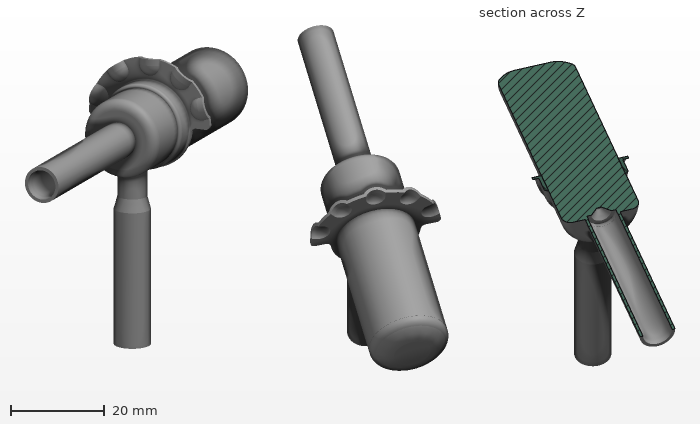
import cadquery as cq


shell_dia = 17.4
shell_radius = shell_dia / 2
shell_length = 48.65
front_round = 2.1

groove_dia = 17.3
groove_width = 0.3
groove_from_rear = 3.2
crown_dia = 15.4
crown_height = 1.5
crown_flat_dia = 8.15

overall_length = 86.7
tube_dia = 8.0
tube_radius = tube_dia / 2
front_tube_length = overall_length - shell_length
bore_dia = 6.5

pocket_dia = 6.4
pocket_depth = 0.9
seat_dia = 4.5
seat_tip_dia = 1.0
seat_depth = 1.7

side_tube_y = 6.8
neck_dia = 6.4
neck_end = 14.05
taper_end = 16.9
side_tube_end = 47.1

sheet = 0.8
collar_dia = 19.0
collar_rear = 15.95
collar_length = 5.0
collar_front = collar_rear - collar_length
flange_front = collar_rear - sheet
flange_radius = 10.0
bend_round = 0.3
fan_radius = 14.4
fan_corner_round = 1.0
fan_root_round = 1.2

dent_count = 5
dent_spacing = 35.0
dent_outer_dia = 6.5
dent_inner_dia = 5.0
dent_end_radius = 12.9
dent_total_depth = 1.9
dent_center_y = collar_rear + dent_outer_dia / 2 - dent_total_depth


def cylinder_y(diameter, y_start, y_end):
    """Cylinder on the valve axis between two Y positions."""
    return cq.Workplane("XZ", origin=(0, y_start, 0)).circle(diameter / 2).extrude(y_start - y_end)


def make_shell():
    """Solid of revolution: rounded front edge, seam groove, rounded shoulder and crown."""
    groove_end = shell_length - groove_from_rear
    groove_start = groove_end - groove_width
    crown_base = shell_length - crown_height
    shoulder_run = shell_radius - crown_dia / 2
    shoulder_rise = crown_base - groove_end
    shoulder_round = (shoulder_run**2 + shoulder_rise**2) / (2 * shoulder_run)
    return (
        cq.Workplane("XY")
        .lineTo(0, shell_length)
        .lineTo(crown_flat_dia / 2, shell_length)
        .tangentArcPoint((crown_dia / 2, crown_base), relative=False)
        .radiusArc((shell_radius, groove_end), shoulder_round)
        .lineTo(groove_dia / 2, groove_end)
        .lineTo(groove_dia / 2, groove_start)
        .lineTo(shell_radius, groove_start)
        .lineTo(shell_radius, front_round)
        .radiusArc((shell_radius - front_round, 0), front_round)
        .close()
        .revolve(360, (0, 0, 0), (0, 1, 0))
    )


def make_side_tube():
    """Neck, taper and straight tube turned about a vertical axis that starts on the valve axis."""
    return (
        cq.Workplane("XZ", origin=(0, side_tube_y, 0))
        .lineTo(neck_dia / 2, 0)
        .lineTo(neck_dia / 2, -neck_end)
        .lineTo(tube_radius, -taper_end)
        .lineTo(tube_radius, -side_tube_end)
        .lineTo(0, -side_tube_end)
        .close()
        .revolve(360, (0, 0, 0), (0, 1, 0))
    )


def make_seat():
    """Conical recess in the floor of the pocket, ending in a small flat."""
    seat_bottom = pocket_depth + seat_depth
    return (
        cq.Workplane("XY")
        .moveTo(0, pocket_depth)
        .lineTo(seat_dia / 2, pocket_depth)
        .lineTo(seat_tip_dia / 2, seat_bottom)
        .lineTo(0, seat_bottom)
        .close()
        .revolve(360, (0, 0, 0), (0, 1, 0))
    )


def make_valve():
    front_tube = cylinder_y(tube_dia, -front_tube_length, 0)
    bore = cylinder_y(bore_dia, -front_tube_length, 0)
    pocket = cylinder_y(pocket_dia, 0, pocket_depth)
    solid = make_shell().union(front_tube).union(make_side_tube())
    return solid.cut(bore).cut(pocket).cut(make_seat())


def make_flange():
    """Flat flange: a disc whose upper half widens into a fan with rounded corners and roots."""
    disc = cylinder_y(2 * flange_radius, flange_front, collar_rear)
    upper_half = cq.Workplane("XY").box(
        2 * fan_radius, 2 * collar_rear, fan_radius, centered=(True, True, False)
    )
    fan = cylinder_y(2 * fan_radius, flange_front, collar_rear).intersect(upper_half)
    fan = fan.edges("|Y").fillet(fan_corner_round)
    root_limit = flange_radius + sheet
    roots = cq.selectors.BoxSelector((-root_limit, 0, -sheet), (root_limit, collar_rear, sheet))
    return fan.union(disc).edges("|Y").edges(roots).fillet(fan_root_round)


def make_sleeve():
    """Sleeve with a rounded front edge and a small round where it bends into the flange."""
    sleeve_radius = collar_dia / 2
    edge_round = sleeve_radius - shell_radius
    bend_radius = sleeve_radius + bend_round
    bend_start = flange_front - bend_round
    return (
        cq.Workplane("XY")
        .moveTo(0, collar_front)
        .lineTo(shell_radius, collar_front)
        .radiusArc((sleeve_radius, collar_front + edge_round), -edge_round)
        .lineTo(sleeve_radius, bend_start)
        .radiusArc((bend_radius, flange_front), bend_round)
        .lineTo(bend_radius, collar_rear)
        .lineTo(0, collar_rear)
        .close()
        .revolve(360, (0, 0, 0), (0, 1, 0))
    )


def make_dent(diameter, angle):
    """Round-ended bar that points radially outward, turned from the vertical by an angle about Y."""
    radius = diameter / 2
    bar = (
        cq.Workplane("XY", origin=(0, dent_center_y, dent_end_radius))
        .circle(radius)
        .extrude(fan_radius - dent_end_radius)
    )
    ball = cq.Workplane("XY", origin=(0, dent_center_y, dent_end_radius)).sphere(radius)
    return bar.union(ball).rotate((0, 0, 0), (0, 1, 0), angle)


def make_collar():
    collar = make_flange().union(make_sleeve())
    rim_limit = cylinder_y(2 * fan_radius, collar_front, collar_rear)
    for index in range(dent_count):
        angle = (index - (dent_count - 1) / 2) * dent_spacing
        bump = make_dent(dent_outer_dia, angle).intersect(rim_limit)
        collar = collar.union(bump).cut(make_dent(dent_inner_dia, angle))
    return collar.cut(cylinder_y(shell_dia, collar_front, collar_rear))


valve = make_valve()
collar = make_collar()
result = cq.Compound.makeCompound([valve.solids().val(), collar.solids().val()])